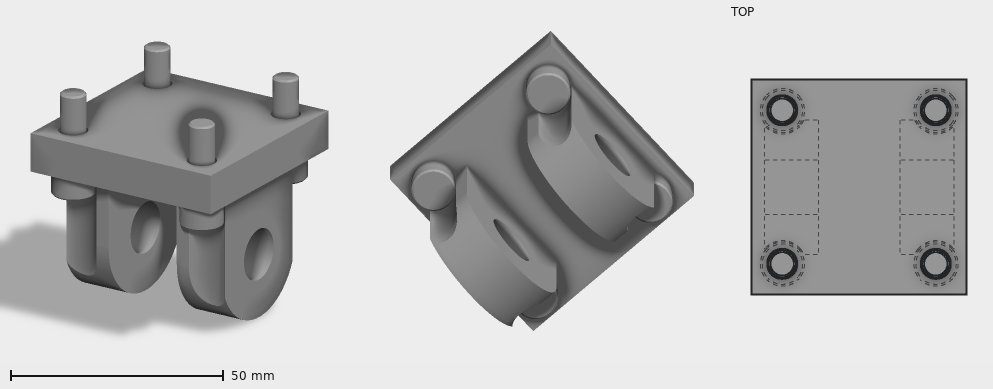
import cadquery as cq


PLATE_SIDE = 50.5
PLATE_THICKNESS = 9.65

OVERALL_HEIGHT = 54.0
LUG_GAP = 19.1
LUG_THICKNESS = 12.7
LUG_RADIUS = 15.8
CROSS_HOLE_DIAMETER = 12.75

SCREW_SPACING = 36.05
SCREW_DIAMETER = 6.3
SCREW_PROJECTION = 9.5
CLEARANCE_DIAMETER = 7.1
HEAD_DIAMETER = 10.35
HEAD_HEIGHT = 6.3
SCREW_CHAMFER = 0.45
RELIEF_RADIUS = 5.5

LUG_LENGTH = OVERALL_HEIGHT - SCREW_PROJECTION - PLATE_THICKNESS
LUG_AXIS_Z = LUG_RADIUS - LUG_LENGTH
SHANK_LENGTH = PLATE_THICKNESS + SCREW_PROJECTION


def at_screws():
    """Workplane on the plate underside with a point at each screw axis."""
    return cq.Workplane("XY").rarray(SCREW_SPACING, SCREW_SPACING, 2, 2)


def make_plate():
    return cq.Workplane("XY").box(
        PLATE_SIDE, PLATE_SIDE, PLATE_THICKNESS, centered=(True, True, False)
    )


def make_lug(x_start):
    """One lug occupying x_start to x_start + LUG_THICKNESS."""
    return (
        cq.Workplane("YZ", origin=(x_start, 0, 0))
        .moveTo(-LUG_RADIUS, 0)
        .lineTo(-LUG_RADIUS, LUG_AXIS_Z)
        .threePointArc((0, -LUG_LENGTH), (LUG_RADIUS, LUG_AXIS_Z))
        .lineTo(LUG_RADIUS, 0)
        .close()
        .moveTo(0, LUG_AXIS_Z)
        .circle(CROSS_HOLE_DIAMETER / 2)
        .extrude(LUG_THICKNESS)
    )


def make_clevis():
    """Plate and lugs in one piece, with screw holes and head reliefs."""
    clevis = make_plate()
    for x_start in (-LUG_GAP / 2 - LUG_THICKNESS, LUG_GAP / 2):
        clevis = clevis.union(make_lug(x_start))
    screw_holes = at_screws().circle(CLEARANCE_DIAMETER / 2).extrude(PLATE_THICKNESS)
    head_reliefs = at_screws().circle(RELIEF_RADIUS).extrude(-LUG_LENGTH)
    return clevis.cut(screw_holes).cut(head_reliefs)


def make_screw(x, y):
    """Screw pointing up, its head bearing on the plate underside."""
    seat = cq.Workplane("XY", origin=(x, y, 0))
    head = seat.circle(HEAD_DIAMETER / 2).extrude(-HEAD_HEIGHT).faces("<Z").chamfer(SCREW_CHAMFER)
    shank = seat.circle(SCREW_DIAMETER / 2).extrude(SHANK_LENGTH).faces(">Z").chamfer(SCREW_CHAMFER)
    return head.union(shank)


clevis = make_clevis()

screws = []
for x in (-SCREW_SPACING / 2, SCREW_SPACING / 2):
    for y in (-SCREW_SPACING / 2, SCREW_SPACING / 2):
        screws.append(make_screw(x, y))

result = cq.Compound.makeCompound([clevis.solids().val(), *[screw.solids().val() for screw in screws]])